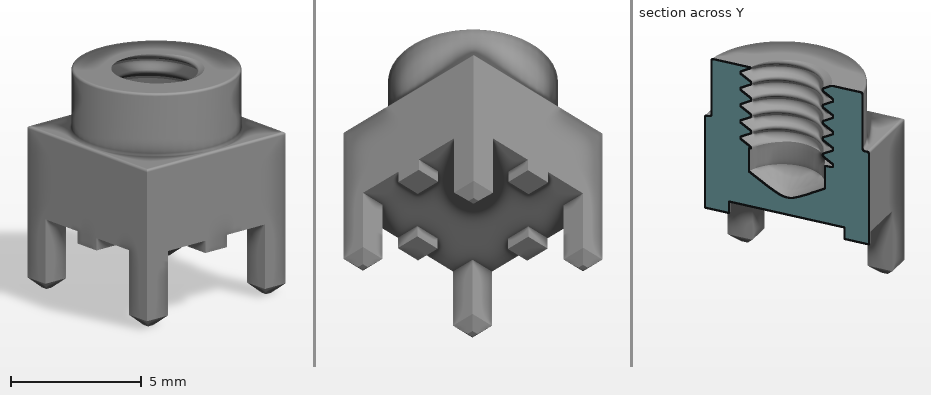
import cadquery as cq
import math

block_side = 7.0
total_height = 9.0
boss_diameter = 6.5
boss_height = 2.5
block_height = 3.5
edge_fillet = 0.1

leg_side = 1.05
leg_tip_chamfer = 0.4
pad_width = 1.1
pad_height = 0.495

thread_major_diameter = 4.0
drill_diameter = 3.3
thread_pitch = 0.7
thread_turns = 5
drill_depth = 4.5
drill_point_angle = 118.0
flank_angle = 30.0
crest_radius = 0.1
crest_exit_angle = 155.0

boss_top = total_height
block_top = boss_top - boss_height
block_bottom = block_top - block_height
boss_radius = boss_diameter / 2
drill_radius = drill_diameter / 2
root_radius = thread_major_diameter / 2
thread_depth = thread_turns * thread_pitch


def make_housing():
    """Square block with a round boss; top edges rounded and the boss foot filleted."""
    block = (
        cq.Workplane("XY", origin=(0, 0, block_bottom))
        .rect(block_side, block_side)
        .extrude(block_height)
        .faces(">Z")
        .edges()
        .fillet(edge_fillet)
    )
    boss = (
        cq.Workplane("XY", origin=(0, 0, block_top))
        .circle(boss_radius)
        .extrude(boss_height)
        .faces(">Z")
        .edges()
        .fillet(edge_fillet)
    )
    foot_fillet = (
        cq.Workplane("XZ")
        .moveTo(boss_radius - edge_fillet, block_top)
        .lineTo(boss_radius + edge_fillet, block_top)
        .radiusArc((boss_radius, block_top + edge_fillet), edge_fillet)
        .lineTo(boss_radius - edge_fillet, block_top + edge_fillet)
        .close()
        .revolve(360, (0, 0), (0, 1))
    )
    return block.union(boss).union(foot_fillet)


def make_legs():
    """Four square corner legs with chamfered tips."""
    spacing = block_side - leg_side
    return (
        cq.Workplane("XY")
        .rarray(spacing, spacing, 2, 2)
        .rect(leg_side, leg_side)
        .extrude(block_bottom)
        .faces("<Z")
        .edges()
        .chamfer(leg_tip_chamfer)
    )


def make_pads():
    """Four standoff pads, one under the middle of each block side."""
    return (
        cq.Workplane("XY", origin=(0, 0, block_bottom - pad_height))
        .polarArray((block_side - leg_side) / 2, 0, 360, 4)
        .rect(leg_side, pad_width)
        .extrude(pad_height)
    )


def make_drill_hole():
    """Plain drilled hole with a conical bottom, continuing below the thread."""
    cone_depth = drill_radius / math.tan(math.radians(drill_point_angle / 2))
    thread_bottom = boss_top - thread_depth
    drill_floor = boss_top - drill_depth
    return (
        cq.Workplane("XZ")
        .moveTo(0, thread_bottom)
        .lineTo(drill_radius, thread_bottom)
        .lineTo(drill_radius, drill_floor)
        .lineTo(0, drill_floor - cone_depth)
        .close()
        .revolve(360, (0, 0), (0, 1))
    )


def make_thread_ridge():
    """Right-hand helical ridge with straight flanks and a rounded crest."""
    flank = math.radians(flank_angle)
    root_flat = thread_pitch / 8
    wall_overlap = 0.02

    root_half = (thread_pitch - root_flat) / 2
    apex_radius = root_radius - root_half / math.tan(flank)

    crest_center = apex_radius + crest_radius / math.sin(flank)
    crest_tip = crest_center - crest_radius
    tangent_radius = crest_center - crest_radius * math.sin(flank)
    tangent_half = crest_radius * math.cos(flank)

    outer_radius = root_radius + wall_overlap
    outer_half = root_half + wall_overlap * math.tan(flank)

    helix_height = thread_depth + 2 * thread_pitch
    helix = cq.Wire.makeHelix(thread_pitch, helix_height, root_radius)
    return (
        cq.Workplane("XZ")
        .moveTo(outer_radius, -outer_half)
        .lineTo(tangent_radius, -tangent_half)
        .threePointArc((crest_tip, 0), (tangent_radius, tangent_half))
        .lineTo(outer_radius, outer_half)
        .close()
        .sweep(cq.Workplane(obj=helix), isFrenet=True)
        .rotate((0, 0, 0), (0, 0, 1), crest_exit_angle)
        .translate((0, 0, boss_top - thread_depth - thread_pitch))
    )


def make_thread_space():
    """The space removed by the thread: a cylinder at the root radius less the ridge."""
    cylinder = (
        cq.Workplane("XY", origin=(0, 0, boss_top - thread_depth))
        .circle(root_radius)
        .extrude(thread_depth)
    )
    return cylinder.cut(make_thread_ridge())


result = make_housing().union(make_legs()).union(make_pads())
result = result.cut(make_thread_space()).cut(make_drill_hole())